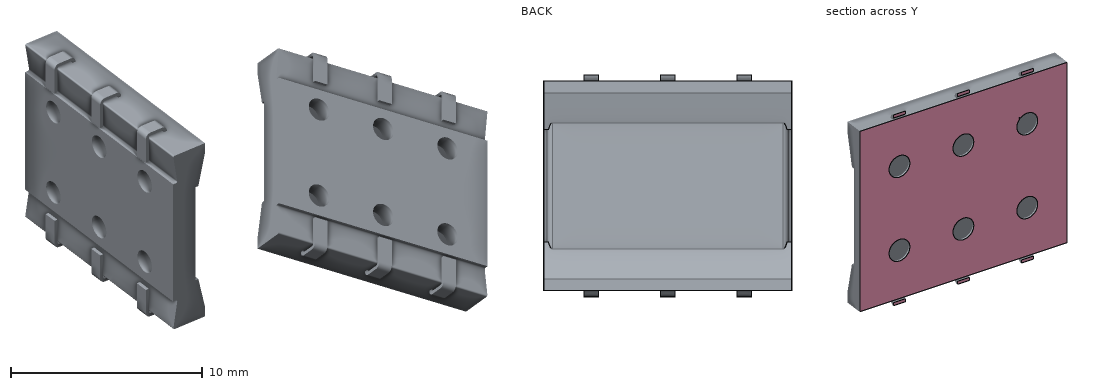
import cadquery as cq
import math

BODY_LENGTH = 12.98
BODY_HALF_HEIGHT = 5.48
BODY_FRONT_Y = 0.22
BODY_BACK_Y = 2.29

GROOVE_STEP_Z = 3.71
GROOVE_DEPTH = 0.28
EDGE_FILLET = 0.08

TAPER_START_Z = 4.86
TAPER_END_Y = 1.86
RECESS_HALF_HEIGHT = 2.94
RECESS_FLOOR_Y = 1.67

RIDGE_TOP_Y = 1.94
RIDGE_FLANK_ANGLE = math.radians(60)
RIDGE_FOOT_HEIGHT = 0.11
RIDGE_EMBED = 0.1

COLUMN_PITCH = 4.0
COLUMN_X = [-COLUMN_PITCH, 0, COLUMN_PITCH]
HOLE_DIAMETER = 1.27
HOLE_DEPTH = 1.0
HOLE_Z = 2.54

LEAD_WIDTH = 0.78
LEAD_THICKNESS = 0.19
LEAD_OUTER_Z = 5.805
LEAD_TIP_Z = 4.03
LEAD_BACK_Y = 1.37
LEAD_BEND_RADIUS = 0.31
LEAD_EMBED = 0.2


def mirrored_in_z(shape):
    return shape.union(shape.mirror("XY"))


def make_body():
    groove_floor_y = BODY_FRONT_Y + GROOVE_DEPTH
    upper_outline = [
        (BODY_FRONT_Y, GROOVE_STEP_Z),
        (groove_floor_y, GROOVE_STEP_Z),
        (BODY_FRONT_Y, BODY_HALF_HEIGHT),
        (BODY_BACK_Y, BODY_HALF_HEIGHT),
        (BODY_BACK_Y, TAPER_START_Z),
        (TAPER_END_Y, RECESS_HALF_HEIGHT),
        (RECESS_FLOOR_Y, RECESS_HALF_HEIGHT),
    ]
    lower_outline = [(y, -z) for y, z in reversed(upper_outline)]
    body = (
        cq.Workplane("YZ")
        .polyline(upper_outline + lower_outline)
        .close()
        .extrude(BODY_LENGTH / 2, both=True)
    )
    fillet_points = [(y, side * z) for y, z in upper_outline[1:3] for side in (1, -1)]
    for y, z in fillet_points:
        body = body.edges(cq.selectors.NearestToPointSelector((0, y, z))).fillet(EDGE_FILLET)
    return body


def make_ridge():
    """Ridge section in XY, run up and down until its top meets the foot tapers."""
    flank_drop = 1 - math.cos(RIDGE_FLANK_ANGLE)
    flank_run = math.sin(RIDGE_FLANK_ANGLE)
    foot_radius = RIDGE_FOOT_HEIGHT / flank_drop
    crest_radius = (RIDGE_TOP_Y - RECESS_FLOOR_Y - RIDGE_FOOT_HEIGHT) / flank_drop
    half_angle = RIDGE_FLANK_ANGLE / 2

    end_x = BODY_LENGTH / 2
    join_x = end_x - foot_radius * flank_run
    join_y = RECESS_FLOOR_Y + RIDGE_FOOT_HEIGHT
    crest_x = join_x - crest_radius * flank_run
    foot_mid_x = end_x - foot_radius * math.sin(half_angle)
    foot_mid_y = RECESS_FLOOR_Y + foot_radius * (1 - math.cos(half_angle))
    crest_mid_x = crest_x + crest_radius * math.sin(half_angle)
    crest_mid_y = RIDGE_TOP_Y - crest_radius * (1 - math.cos(half_angle))

    taper_slope = (TAPER_START_Z - RECESS_HALF_HEIGHT) / (BODY_BACK_Y - TAPER_END_Y)
    half_height = RECESS_HALF_HEIGHT + taper_slope * (RIDGE_TOP_Y - TAPER_END_Y)
    base_y = RECESS_FLOOR_Y - RIDGE_EMBED
    return (
        cq.Workplane("XY")
        .moveTo(-end_x, base_y)
        .lineTo(end_x, base_y)
        .lineTo(end_x, RECESS_FLOOR_Y)
        .threePointArc((foot_mid_x, foot_mid_y), (join_x, join_y))
        .threePointArc((crest_mid_x, crest_mid_y), (crest_x, RIDGE_TOP_Y))
        .lineTo(-crest_x, RIDGE_TOP_Y)
        .threePointArc((-crest_mid_x, crest_mid_y), (-join_x, join_y))
        .threePointArc((-foot_mid_x, foot_mid_y), (-end_x, RECESS_FLOOR_Y))
        .close()
        .extrude(half_height, both=True)
    )


def make_holes():
    centres = [(x, z) for x in COLUMN_X for z in (HOLE_Z, -HOLE_Z)]
    return (
        cq.Workplane("XZ", origin=(0, BODY_FRONT_Y, 0))
        .pushPoints(centres)
        .circle(HOLE_DIAMETER / 2)
        .extrude(-HOLE_DEPTH)
    )


def rounded_block(front_y, back_y, top_z, bend_radius):
    """Block above LEAD_TIP_Z with its front and back top edges rounded."""
    return (
        cq.Workplane("YZ")
        .moveTo(front_y, LEAD_TIP_Z)
        .lineTo(back_y, LEAD_TIP_Z)
        .lineTo(back_y, top_z)
        .lineTo(front_y, top_z)
        .close()
        .extrude(LEAD_WIDTH / 2, both=True)
        .edges("|X and >Z")
        .fillet(bend_radius)
    )


def make_lead(x):
    outer = rounded_block(0, LEAD_BACK_Y, LEAD_OUTER_Z, LEAD_BEND_RADIUS)
    inner = rounded_block(
        LEAD_THICKNESS,
        LEAD_BACK_Y - LEAD_THICKNESS,
        LEAD_OUTER_Z - LEAD_THICKNESS,
        LEAD_BEND_RADIUS - LEAD_THICKNESS,
    )
    leg_bottom_z = BODY_HALF_HEIGHT - LEAD_EMBED
    below_leg = (
        cq.Workplane("XY")
        .box(LEAD_WIDTH, LEAD_BACK_Y, leg_bottom_z - LEAD_TIP_Z, centered=(True, False, False))
        .translate((0, LEAD_THICKNESS, LEAD_TIP_Z))
    )
    return outer.cut(inner).cut(below_leg).translate((x, 0, 0))


result = make_body().union(make_ridge()).cut(make_holes())
for column_x in COLUMN_X:
    result = result.union(mirrored_in_z(make_lead(column_x)))